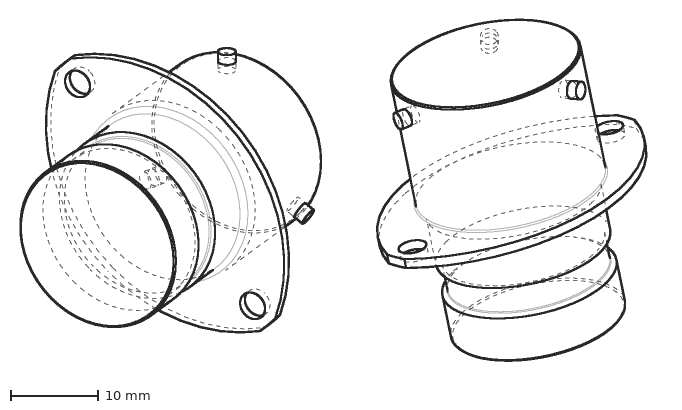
import cadquery as cq
import math

total_length = 33.3
rear_y = 16.02
front_y = rear_y - total_length
flange_thickness = 1.15
groove_rear_y = -7.75
groove_front_y = -11.3

barrel_radius = 11.12
neck_radius = 10.22
groove_radius = 9.52

end_chamfer = 0.2
groove_wall_slant = 30.0
neck_fillet = 0.65
barrel_fillet = 0.2
groove_fillet = 0.15

flange_half_width = 15.65
lens_center_offset = 5.45
lens_radius = flange_half_width + lens_center_offset
flange_tip_radius = 19.08
mount_hole_offset = 11.5
mount_hole_radius = 1.63

pin_count = 3
pin_radius = 1.03
pin_y = 13.52
pin_tip_radius = 12.32
pin_seat_radius = 10.0
first_pin_angle = 90.0


def disc(radius, start_y, end_y, x=0.0, z=0.0):
    """Cylinder parallel to Y, centred on (x, z)."""
    return (
        cq.Workplane("XZ", origin=(0, end_y, 0))
        .center(x, z)
        .circle(radius)
        .extrude(end_y - start_y)
    )


def make_flange():
    """Trimmed lens plate with a mounting hole near each tip."""
    front = -flange_thickness
    plate = disc(lens_radius, front, 0, lens_center_offset, lens_center_offset)
    plate = plate.intersect(disc(lens_radius, front, 0, -lens_center_offset, -lens_center_offset))
    plate = plate.intersect(disc(flange_tip_radius, front, 0))
    for side in (-1, 1):
        offset = side * mount_hole_offset
        plate = plate.cut(disc(mount_hole_radius, front, 0, offset, -offset))
    return plate


def make_turned_body():
    """Revolved barrel and grooved neck, with fillets running into the flange."""
    neck_start = -flange_thickness
    slant = math.radians(groove_wall_slant)
    wall_run = (neck_radius - groove_radius) * math.tan(slant)
    setback = groove_fillet * math.tan((math.pi / 2 - slant) / 2)
    wall_fillet_radius = groove_radius + setback * math.cos(slant)
    wall_fillet_y = groove_front_y - setback * math.sin(slant)
    profile = (
        cq.Workplane("XY")
        .moveTo(0, front_y)
        .lineTo(neck_radius - end_chamfer, front_y)
        .lineTo(neck_radius, front_y + end_chamfer)
        .lineTo(neck_radius, groove_front_y - wall_run)
        .lineTo(wall_fillet_radius, wall_fillet_y)
        .radiusArc((groove_radius, groove_front_y + setback), groove_fillet)
        .lineTo(groove_radius, groove_rear_y - groove_fillet)
        .radiusArc((groove_radius + groove_fillet, groove_rear_y), groove_fillet)
        .lineTo(neck_radius, groove_rear_y)
        .lineTo(neck_radius, neck_start - neck_fillet)
        .radiusArc((neck_radius + neck_fillet, neck_start), neck_fillet)
        .lineTo(neck_radius + neck_fillet, 0)
        .lineTo(barrel_radius + barrel_fillet, 0)
        .radiusArc((barrel_radius, barrel_fillet), barrel_fillet)
        .lineTo(barrel_radius, rear_y - end_chamfer)
        .lineTo(barrel_radius - end_chamfer, rear_y)
        .lineTo(0, rear_y)
        .close()
    )
    return profile.revolve(360, (0, 0, 0), (0, 1, 0))


def make_pin(angle):
    """Round pin standing radially on the barrel at the given angle from +X towards +Z."""
    direction = cq.Vector(math.cos(math.radians(angle)), 0, math.sin(math.radians(angle)))
    seat = direction * pin_seat_radius + cq.Vector(0, pin_y, 0)
    return cq.Solid.makeCylinder(pin_radius, pin_tip_radius - pin_seat_radius, seat, direction)


pins = [make_pin(first_pin_angle + i * 360.0 / pin_count) for i in range(pin_count)]

shell = make_turned_body().union(make_flange())
for pin in pins:
    shell = shell.cut(cq.Workplane(obj=pin))

result = cq.Compound.makeCompound([shell.val(), *pins])